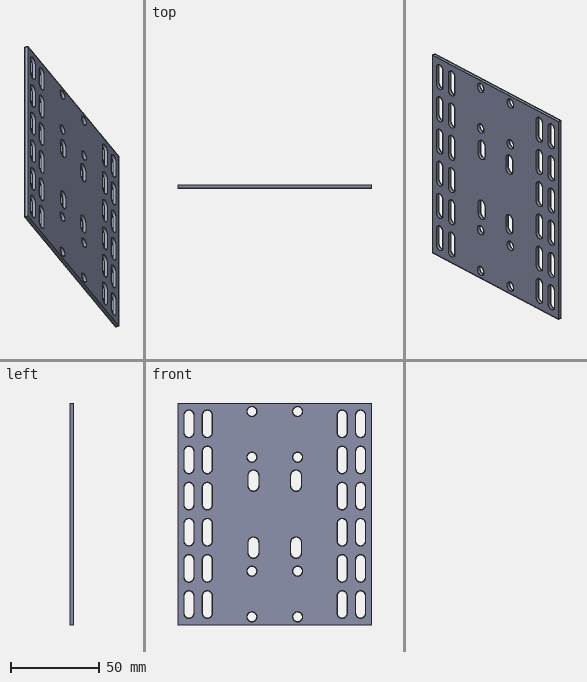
import cadquery as cq

WIDTH = 110.0
THICKNESS = 2.0
HEIGHT = 126.0

EDGE_SLOT_WIDTH = 5.5
EDGE_SLOT_LENGTH = 15.5
EDGE_SLOT_ROWS = 6
EDGE_SLOT_PITCH = 20.5
OUTER_COLUMN_X = 48.8
COLUMN_SPACING = 10.5
INNER_COLUMN_X = OUTER_COLUMN_X - COLUMN_SPACING

CENTRE_SLOT_WIDTH = 6.0
CENTRE_SLOT_LENGTH = 12.0
CENTRE_SLOT_X = 12.1
CENTRE_SLOT_Z = 19.0

HOLE_DIAMETER = 5.5
HOLE_X = 13.0
OUTER_HOLE_Z = 58.3
HOLE_ROW_SPACING = 26.0
INNER_HOLE_Z = OUTER_HOLE_Z - HOLE_ROW_SPACING


def mirrored(x, z):
    """Four points symmetric about both centre lines of the plate."""
    return [(sx * x, sz * z) for sx in (-1, 1) for sz in (-1, 1)]


def cut_slots(plate, points, width, length):
    """Cut vertical round-ended slots through the plate."""
    face = plate.faces("<Y").workplane(origin=(0, 0, 0))
    return face.pushPoints(points).slot2D(length, width, 90).cutThruAll()


def cut_holes(plate, points, diameter):
    """Drill round holes through the plate."""
    face = plate.faces("<Y").workplane(origin=(0, 0, 0))
    return face.pushPoints(points).hole(diameter)


edge_slot_points = []
for column_x in (INNER_COLUMN_X, OUTER_COLUMN_X):
    for row in range(EDGE_SLOT_ROWS // 2):
        edge_slot_points += mirrored(column_x, (row + 0.5) * EDGE_SLOT_PITCH)

centre_slot_points = mirrored(CENTRE_SLOT_X, CENTRE_SLOT_Z)
hole_points = mirrored(HOLE_X, OUTER_HOLE_Z) + mirrored(HOLE_X, INNER_HOLE_Z)

plate = cq.Workplane("XY").box(WIDTH, THICKNESS, HEIGHT)
plate = cut_slots(plate, edge_slot_points, EDGE_SLOT_WIDTH, EDGE_SLOT_LENGTH)
plate = cut_slots(plate, centre_slot_points, CENTRE_SLOT_WIDTH, CENTRE_SLOT_LENGTH)
result = cut_holes(plate, hole_points, HOLE_DIAMETER)